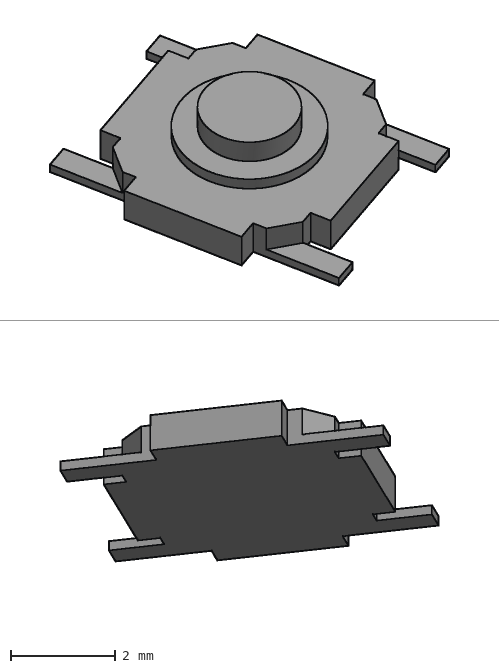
import cadquery as cq

tab_span = 5.1
tab_width = 2.6
core_size = 4.21
corner_chamfer = 0.51
housing_height = 0.75

collar_diameter = 3.0
collar_top = 1.0
button_diameter = 2.0
button_top = 1.5

lead_span = 6.4
lead_width = 0.52
lead_thickness = 0.2
lead_center_y = (core_size - lead_width) / 2


def block(length, width, height):
    """Box centred in X and Y, standing on the underside plane."""
    return cq.Workplane("XY").box(length, width, height, centered=(True, True, False))


def make_housing():
    core = block(core_size, core_size, housing_height).edges("|Z").chamfer(corner_chamfer)
    tabs_x = block(tab_span, tab_width, housing_height)
    tabs_y = block(tab_width, tab_span, housing_height)
    return core.union(tabs_x).union(tabs_y)


def make_disc(diameter, top):
    """Round step rising from the top of the housing."""
    base = cq.Workplane("XY").workplane(offset=housing_height)
    return base.circle(diameter / 2).extrude(top - housing_height)


def make_lead(side):
    """Lead crossing the housing; side is -1 for front, 1 for back."""
    lead = block(lead_span, lead_width, lead_thickness)
    return lead.translate((0, side * lead_center_y, 0))


result = make_housing()
result = result.union(make_disc(collar_diameter, collar_top))
result = result.union(make_disc(button_diameter, button_top))
for side in (-1, 1):
    result = result.union(make_lead(side))